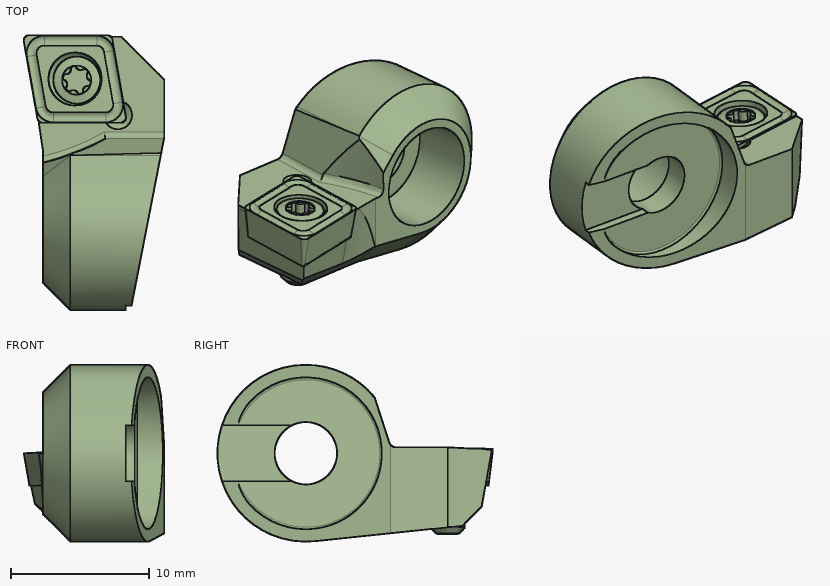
import cadquery as cq
import math

RING_RADIUS = 6.398
RING_CHAMFER = 1.99
SCREW_BORE_DIAMETER = 4.5
HEAD_BORE_DIAMETER = 7.5
HEAD_BORE_DEPTH = 4.7
SPIGOT_BORE_DIAMETER = 10.98
SPIGOT_FLOOR_X = 6.65
SPIGOT_FLOOR_FILLET = 0.15
KEYWAY_WIDTH = 4.02
KEYWAY_FLOOR_X = 5.99

ARM_END_Y = 13.4
ARM_MAX_X = 8.78
CORNER_CHAMFER = 3.12
BACK_FACE_ANGLE = 11.0
BACK_FACE_TOP_Y = 6.1
SIDE_BEND_Y = 5.11
SIDE_LEAN_ANGLE = 8.5
UNDERSIDE_ANGLE = 6.0
SHOULDER_ANGLE = 41.0
SHOULDER_LENGTH = 1.99
FLANK_RELIEF_ANGLE = 10.0
FLANK_RUNOUT_RADIUS = 5.37
FLANK_RUNOUT_Y = 7.88
FLANK_SETBACK = 0.1
NOSE_CHAMFER_Y = 12.72
NOSE_CHAMFER_Z = -3.86
NOSE_EDGE_POINT = (-1.0, 13.13, -1.0)
NOSE_ROUND = 0.3
MARGIN = 1.99
FAR = 23.88

INSERT_CENTER = (2.3, 10.33, 0.2)
TILT = 3.0
INSERT_RADIUS = 3.175
INSERT_LEAN = 10.0
INSERT_THICKNESS = 2.39
INSERT_CLEARANCE = 7.0
NOSE_RADIUS = 0.4
LAND_INSET = 0.75
BREAKER_DEPTH = 0.15
BREAKER_EDGE = 0.04
BREAKER_CORNER_RADIUS = 0.92
INSERT_HOLE_DIAMETER = 2.8
INSERT_MOUTH_DIAMETER = 3.85
MOUTH_DEPTH = 0.6
SEAT_DEPTH = 1.2

DECK_DROP = 0.1
DECK_WALL_Y = 6.15
DECK_WALL_ANGLE = 18.0
DECK_FILLET = 0.5
SWEEP_RADIUS = 15.92
SWEEP_CENTER = (-3.38, 19.82)
RELIEF_DIAMETER = 2.05
RELIEF_CENTER = (5.41, 7.72)
RELIEF_DEPTH = 0.58
RELIEF_SLOPE = 60.0

SCREW_OFFSET = (0.12, -0.08)
SEAT_GAP = 0.004
SCREW_DIAMETER = 2.5
SCREW_HEAD_DIAMETER = 3.4
HEAD_TOP_DEPTH = 0.1
HEAD_RIM_DEPTH = 0.24
SCREW_TIP_DEPTH = 6.03
SCREW_TIP_CHAMFER = 0.44
SOCKET_MOUTH_DIAMETER = 2.1
SOCKET_MOUTH_DEPTH = 0.1
SOCKET_DIAMETER = 2.05
SOCKET_DEPTH = 1.0
SOCKET_TEETH = 6
TOOTH_RADIUS = 0.35
TOOTH_CENTER_RADIUS = 1.11
TOOTH_ANGLE = 16.0


def tangent_slope(degrees):
    return math.tan(math.radians(degrees))


def tilted_plane(x, y, depth=0.0):
    """Plane parallel to the insert top, `depth` below it, centred over (x, y)."""
    tilt = math.radians(TILT)
    x_direction = (math.cos(tilt), 0, math.sin(tilt))
    normal = (-math.sin(tilt), 0, math.cos(tilt))
    height = INSERT_CENTER[2] + (x - INSERT_CENTER[0]) * tangent_slope(TILT)
    plane = cq.Plane(origin=(x, y, height), xDir=x_direction, normal=normal)
    return cq.Plane(origin=plane.toWorldCoords((0, 0, -depth)), xDir=x_direction, normal=normal)


def deck_workplane(x, y):
    return cq.Workplane(tilted_plane(x, y, DECK_DROP))


def ring_cylinder(start_x, end_x, diameter):
    return cq.Workplane("YZ", origin=(start_x, 0, 0)).circle(diameter / 2).extrude(end_x - start_x)


def revolve_about_normal(plane, profile):
    """Turn a (radius, height) profile about the normal of a plane."""
    upright = cq.Plane(origin=plane.origin, xDir=plane.xDir, normal=-plane.yDir)
    return cq.Workplane(upright).polyline(profile).close().revolve(360, (0, 0), (0, 1))


def rhombus_outline(radius, corner_radius):
    """Rhombus with rounded corners around an inscribed circle of the given radius."""
    lean = math.radians(INSERT_LEAN)
    half_width = radius / math.cos(lean)
    shift = radius * math.tan(lean)
    corners = [
        (-half_width - shift, radius),
        (half_width - shift, radius),
        (half_width + shift, -radius),
        (-half_width + shift, -radius),
    ]
    return cq.Sketch().polygon([*corners, corners[0]]).vertices().fillet(corner_radius).reset()


def insert_blank():
    top = cq.Workplane(tilted_plane(INSERT_CENTER[0], INSERT_CENTER[1]))
    outline = rhombus_outline(INSERT_RADIUS, NOSE_RADIUS)
    return top.placeSketch(outline).extrude(-INSERT_THICKNESS, taper=INSERT_CLEARANCE)


def chip_breaker():
    """Round-bottomed groove that follows the cutting edges: a disc swept around a rhombus."""
    half_width = (LAND_INSET - BREAKER_EDGE) / 2
    groove_radius = (half_width**2 + BREAKER_DEPTH**2) / (2 * BREAKER_DEPTH)
    height = groove_radius - BREAKER_DEPTH
    path_radius = INSERT_RADIUS - BREAKER_EDGE - half_width
    plane = tilted_plane(INSERT_CENTER[0], INSERT_CENTER[1], -height)
    outline = rhombus_outline(path_radius, BREAKER_CORNER_RADIUS)
    path = cq.Workplane(outline.faces().val().outerWire().moved(plane.location))
    start = plane.toWorldCoords((0, path_radius, 0))
    section = cq.Workplane(cq.Plane(origin=start, xDir=plane.yDir, normal=plane.xDir))
    return section.circle(groove_radius).sweep(path)


def insert_hole():
    mouth = INSERT_MOUTH_DIAMETER / 2
    bore = INSERT_HOLE_DIAMETER / 2
    profile = [
        (0, MARGIN),
        (mouth, MARGIN),
        (mouth, -MOUTH_DEPTH),
        (bore, -SEAT_DEPTH),
        (bore, -INSERT_THICKNESS - MARGIN),
        (0, -INSERT_THICKNESS - MARGIN),
    ]
    return revolve_about_normal(tilted_plane(INSERT_CENTER[0], INSERT_CENTER[1]), profile)


def make_insert():
    return insert_blank().cut(chip_breaker()).cut(insert_hole())


def screw_plane(depth=0.0):
    return tilted_plane(INSERT_CENTER[0] + SCREW_OFFSET[0], INSERT_CENTER[1] + SCREW_OFFSET[1], depth)


def screw_blank():
    head = SCREW_HEAD_DIAMETER / 2
    shank = SCREW_DIAMETER / 2
    crown = SOCKET_MOUTH_DIAMETER / 2
    mouth = INSERT_MOUTH_DIAMETER / 2
    depth_per_radius = (SEAT_DEPTH - MOUTH_DEPTH) / (mouth - INSERT_HOLE_DIAMETER / 2)
    seat_radius = mouth - math.hypot(*SCREW_OFFSET) - SEAT_GAP
    cone_top = MOUTH_DEPTH + (seat_radius - head) * depth_per_radius
    cone_end = MOUTH_DEPTH + (seat_radius - shank) * depth_per_radius
    profile = [
        (0, -HEAD_TOP_DEPTH),
        (crown, -HEAD_TOP_DEPTH),
        (head, -HEAD_RIM_DEPTH),
        (head, -cone_top),
        (shank, -cone_end),
        (shank, SCREW_TIP_CHAMFER - SCREW_TIP_DEPTH),
        (shank - SCREW_TIP_CHAMFER, -SCREW_TIP_DEPTH),
        (0, -SCREW_TIP_DEPTH),
    ]
    return revolve_about_normal(screw_plane(), profile)


def screw_socket():
    """Six-lobed socket below a short round mouth."""
    floor = cq.Workplane(screw_plane(SOCKET_DEPTH))
    star = floor.circle(SOCKET_DIAMETER / 2).extrude(SOCKET_DEPTH)
    teeth = floor.polarArray(TOOTH_CENTER_RADIUS, TOOTH_ANGLE, 360, SOCKET_TEETH)
    star = star.cut(teeth.circle(TOOTH_RADIUS).extrude(SOCKET_DEPTH))
    mouth_floor = cq.Workplane(screw_plane(HEAD_TOP_DEPTH + SOCKET_MOUTH_DEPTH))
    mouth = mouth_floor.circle(SOCKET_MOUTH_DIAMETER / 2).extrude(MARGIN)
    return star.union(mouth)


def make_screw():
    return screw_blank().cut(screw_socket())


def ring_blank():
    ring = ring_cylinder(0, ARM_MAX_X, 2 * RING_RADIUS)
    return ring.faces("<X").edges().chamfer(RING_CHAMFER)


def arm_blank():
    """Arm between two tangents to the ring; its bevels continue the cone of the ring."""
    low = math.radians(UNDERSIDE_ANGLE)
    high = math.radians(SHOULDER_ANGLE)
    far_y = ARM_END_Y + MARGIN
    low_tangent = (RING_RADIUS * math.sin(low), -RING_RADIUS * math.cos(low))
    low_end = (far_y, low_tangent[1] + (far_y - low_tangent[0]) * math.tan(low))
    high_tangent = (RING_RADIUS * math.cos(high), RING_RADIUS * math.sin(high))
    shoulder_end = (
        high_tangent[0] + SHOULDER_LENGTH * math.sin(high),
        high_tangent[1] - SHOULDER_LENGTH * math.cos(high),
    )
    outline = [(0, 0), low_tangent, low_end, (far_y, shoulder_end[1]), shoulder_end, high_tangent]
    start = cq.Workplane("YZ", origin=(-MARGIN, 0, 0))
    arm = start.polyline(outline).close().extrude(ARM_MAX_X + MARGIN)

    lower_bevel = bevel_cutter(UNDERSIDE_ANGLE - 90, 0, FAR)
    bend = [(0, SIDE_BEND_Y, z) for z in (0, 1)]
    leaning_bevel = bevel_cutter(UNDERSIDE_ANGLE - 90, -FAR, FAR).rotate(*bend, SIDE_LEAN_ANGLE)
    arm = arm.cut(lower_bevel.intersect(leaning_bevel))
    return arm.cut(bevel_cutter(SHOULDER_ANGLE, -SHOULDER_LENGTH, 0))


def bevel_cutter(angle, start, end):
    """45 degree cut along the tangent that touches the ring at `angle` from +Y."""
    turn = math.radians(angle)
    along = (0, -math.sin(turn), math.cos(turn))
    origin = (0, start * along[1], start * along[2])
    plane = cq.Plane(origin=origin, xDir=(1, 0, 0), normal=along)
    inner_radius = RING_RADIUS - RING_CHAMFER - MARGIN
    corners = [(-MARGIN, inner_radius), (RING_CHAMFER, RING_RADIUS), (-MARGIN, RING_RADIUS + MARGIN)]
    return cq.Workplane(plane).polyline(corners).close().extrude(end - start)


def plan_prism():
    """Outline of the holder seen along Z."""
    low_y = -RING_RADIUS - MARGIN
    back_low_x = ARM_MAX_X - (BACK_FACE_TOP_Y - low_y) * tangent_slope(BACK_FACE_ANGLE)
    lean_x = -(ARM_END_Y - SIDE_BEND_Y) * tangent_slope(SIDE_LEAN_ANGLE)
    outline = [
        (0, low_y),
        (back_low_x, low_y),
        (ARM_MAX_X, BACK_FACE_TOP_Y),
        (ARM_MAX_X, ARM_END_Y - CORNER_CHAMFER),
        (ARM_MAX_X - CORNER_CHAMFER, ARM_END_Y),
        (lean_x, ARM_END_Y),
        (0, SIDE_BEND_Y),
    ]
    return cq.Workplane("XY").polyline(outline).close().extrude(FAR, both=True)


def nose_prism():
    """Outline of the arm end seen along X: a relieved end face and a 45 degree chamfer."""
    end_relief = (ARM_END_Y - NOSE_CHAMFER_Y) / -NOSE_CHAMFER_Z
    outline = [
        (-FAR, FAR),
        (ARM_END_Y + FAR * end_relief, FAR),
        (NOSE_CHAMFER_Y, NOSE_CHAMFER_Z),
        (NOSE_CHAMFER_Y - FAR, NOSE_CHAMFER_Z - FAR),
        (-FAR, NOSE_CHAMFER_Z - FAR),
    ]
    return cq.Workplane("YZ").polyline(outline).close().extrude(FAR, both=True)


def flank_cutter():
    """Relief below the side cutting edge, running out along an arc toward the ring."""
    lean = math.radians(INSERT_LEAN)
    relief = math.radians(FLANK_RELIEF_ANGLE)
    edge_x = INSERT_CENTER[0] - INSERT_RADIUS / math.cos(lean) + FLANK_SETBACK
    runout_x = edge_x - (FLANK_RUNOUT_Y - INSERT_CENTER[1]) * math.tan(lean)
    along = cq.Vector(-math.sin(lean), math.cos(lean), 0)
    outward = cq.Vector(-math.cos(lean), -math.sin(lean), 0)
    normal = cq.Vector(outward.x * math.sin(relief), outward.y * math.sin(relief), math.cos(relief))
    plane = cq.Plane(origin=(runout_x, FLANK_RUNOUT_Y, 0), xDir=along, normal=normal)
    profile = cq.Workplane(plane).moveTo(FAR, 0).lineTo(0, 0)
    profile = profile.radiusArc((-FLANK_RUNOUT_RADIUS, FLANK_RUNOUT_RADIUS), FLANK_RUNOUT_RADIUS)
    return profile.lineTo(FAR, FLANK_RUNOUT_RADIUS).close().extrude(FAR, both=True)


def deck_cutters():
    """Space above the deck: a straight sloped wall and a vertical wall swept on an arc."""
    plane = tilted_plane(0, DECK_WALL_Y, DECK_DROP)
    side = cq.Plane(origin=plane.origin, xDir=plane.yDir, normal=plane.xDir)
    height = 2 * RING_RADIUS
    outline = [(0, 0), (FAR, 0), (FAR, height), (-height * tangent_slope(DECK_WALL_ANGLE), height)]
    straight = cq.Workplane(side).polyline(outline).close().extrude(FAR, both=True)
    foot = cq.selectors.NearestToPointSelector(plane.origin.toTuple())
    straight = straight.edges(foot).fillet(DECK_FILLET)
    swept = deck_workplane(*SWEEP_CENTER).circle(SWEEP_RADIUS).extrude(height)
    swept = swept.faces("<Z").edges().fillet(DECK_FILLET)
    return straight, swept


def corner_relief():
    """Countersink that clears the inner corner of the insert."""
    mouth = deck_workplane(*RELIEF_CENTER).circle(RELIEF_DIAMETER / 2)
    return mouth.extrude(-RELIEF_DEPTH, taper=RELIEF_SLOPE)


def screw_hole():
    return cq.Workplane(screw_plane()).circle(SCREW_DIAMETER / 2).extrude(-FAR)


def spigot_bore():
    bore = ring_cylinder(SPIGOT_FLOOR_X, FAR, SPIGOT_BORE_DIAMETER)
    return bore.faces("<X").edges().fillet(SPIGOT_FLOOR_FILLET)


def keyway():
    start = cq.Workplane("YZ", origin=(KEYWAY_FLOOR_X, 0, 0))
    return start.center(-FAR / 2, 0).rect(FAR, KEYWAY_WIDTH).extrude(FAR)


def make_holder():
    holder = ring_blank().union(arm_blank()).intersect(plan_prism()).intersect(nose_prism())
    holder = holder.cut(flank_cutter())
    holder = holder.edges(cq.selectors.NearestToPointSelector(NOSE_EDGE_POINT)).fillet(NOSE_ROUND)
    for cutter in deck_cutters():
        holder = holder.cut(cutter)
    holder = holder.cut(ring_cylinder(-MARGIN, FAR, SCREW_BORE_DIAMETER))
    holder = holder.cut(ring_cylinder(-MARGIN, HEAD_BORE_DEPTH, HEAD_BORE_DIAMETER))
    holder = holder.cut(spigot_bore()).cut(keyway())
    return holder.cut(insert_blank()).cut(corner_relief()).cut(screw_hole())


holder = make_holder()
insert = make_insert()
screw = make_screw()

result = cq.Compound.makeCompound([holder.val(), insert.val(), screw.val()])